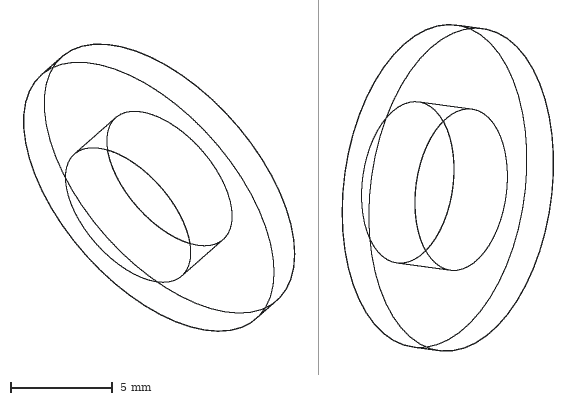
import cadquery as cq
import math

outer_diameter = 16.0
bore_diameter = 8.0
total_thickness = 3.2
rim_thickness = 1.6

outer_radius = outer_diameter / 2
bore_radius = bore_diameter / 2
dome_height = total_thickness - rim_thickness

center_behind_rim = (outer_radius**2 - bore_radius**2 - dome_height**2) / (2 * dome_height)
sphere_radius = math.hypot(outer_radius, center_behind_rim)

mid_radius = (outer_radius + bore_radius) / 2
mid_height = math.sqrt(sphere_radius**2 - mid_radius**2) - center_behind_rim


def domed_washer():
    """Revolve the half section about Y: flat back at Y = 0, dome toward -Y."""
    half_section = (
        cq.Workplane("XY")
        .moveTo(bore_radius, 0)
        .lineTo(outer_radius, 0)
        .lineTo(outer_radius, -rim_thickness)
        .threePointArc(
            (mid_radius, -rim_thickness - mid_height),
            (bore_radius, -total_thickness),
        )
        .close()
    )
    return half_section.revolve(360, (0, 0, 0), (0, 1, 0))


result = domed_washer()